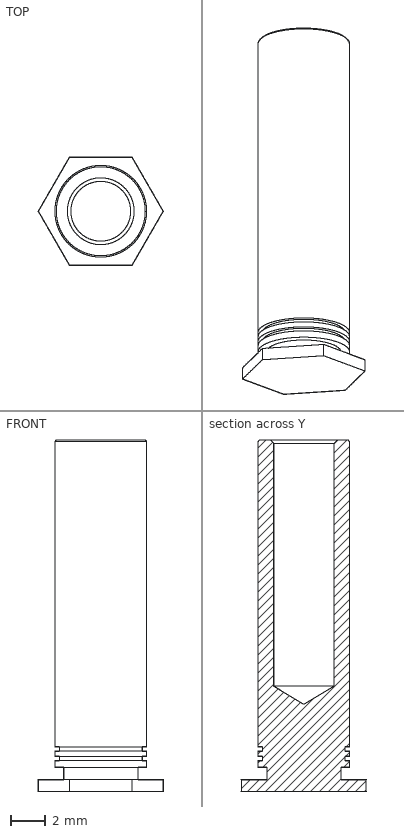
import cadquery as cq
import math

total_height = 20.65
hex_across_flats = 6.35
hex_across_corners = hex_across_flats / math.cos(math.radians(30))
hex_height = 0.7

body_diameter = 5.39
neck_diameter = 4.38
neck_top = 1.42
groove_diameter = 4.87
groove_width = 0.25
groove_bottoms = (1.82, 2.37)
rim_chamfer = 0.08

bore_diameter = 3.5
bore_depth = 14.45
drill_point_angle = 118.0
countersink_diameter = 3.92


def cylinder(diameter, bottom, top):
    """Cylinder on the Z axis between two heights."""
    return cq.Workplane("XY").workplane(offset=bottom).circle(diameter / 2).extrude(top - bottom)


def ring_groove(bottom):
    """Ring of material to remove from the outside of the body."""
    top = bottom + groove_width
    return cylinder(body_diameter, bottom, top).cut(cylinder(groove_diameter, bottom, top))


def bore():
    """Bore with a 45 degree countersink at the mouth and a conical floor."""
    bore_radius = bore_diameter / 2
    countersink_radius = countersink_diameter / 2
    countersink_depth = countersink_radius - bore_radius
    floor = total_height - bore_depth
    point_depth = bore_radius / math.tan(math.radians(drill_point_angle / 2))
    return (
        cq.Workplane("XZ")
        .moveTo(0, total_height)
        .lineTo(countersink_radius, total_height)
        .lineTo(bore_radius, total_height - countersink_depth)
        .lineTo(bore_radius, floor)
        .lineTo(0, floor - point_depth)
        .close()
        .revolve(360, (0, 0, 0), (0, 1, 0))
    )


head = cq.Workplane("XY").polygon(6, hex_across_corners).extrude(hex_height)

neck = cylinder(neck_diameter, hex_height, neck_top)

body = cylinder(body_diameter, neck_top, total_height).faces(">Z").edges().chamfer(rim_chamfer)
for groove_bottom in groove_bottoms:
    body = body.cut(ring_groove(groove_bottom))

result = head.union(neck).union(body).cut(bore())